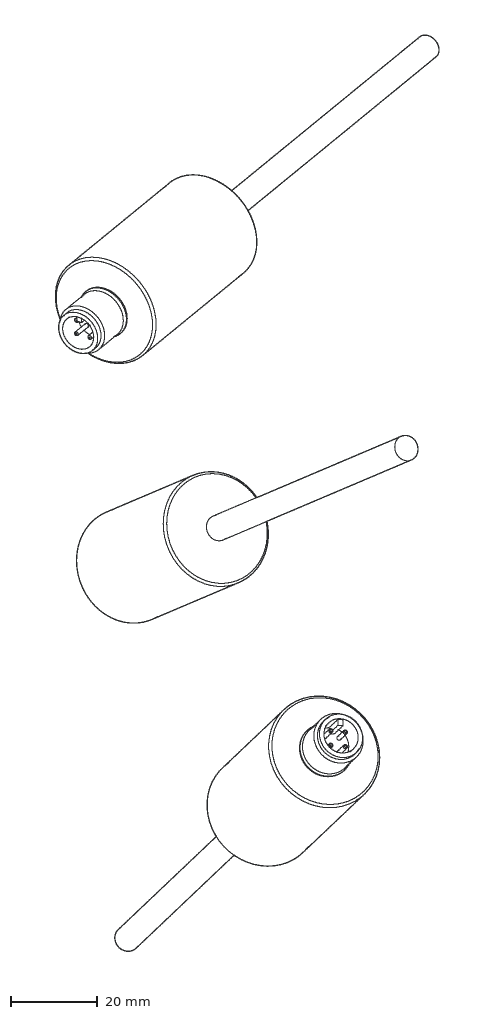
import cadquery as cq
import math

overall_length = 159.9
plug_length = 11.7

housing_diameter = 27.0
housing_length = 48.2
housing_chamfer = 0.6
front_cone_height = 0.3
rear_cone_height = 0.6

collar_diameter = 12.6
collar_length = 0.4
collar_taper_length = 0.9
barrel_diameter = 12.0
barrel_bevel_length = 0.4
nose_diameter = 10.5
nose_length = 1.5

socket_diameter = 8.3
socket_depth = 7.0
pin_diameter = 1.0
pin_tip_chamfer = 0.25
pin_count = 4
pin_circle_diameter = 5.0
pin_recess = 2.0
key_width = 1.2
key_height = 1.5
key_recess = 0.5

probe_diameter = 6.0

plug_tip_y = -plug_length
probe_tip_y = plug_tip_y + overall_length
socket_floor_y = plug_tip_y + socket_depth


def revolve_profile(outline):
    """Revolve an outline of (diameter, y) corners, closed along the axis, about Y."""
    corners = [(diameter / 2, y) for diameter, y in outline]
    profile = cq.Workplane("XY").moveTo(0, outline[0][1]).polyline(corners, includeCurrent=True)
    profile = profile.lineTo(0, outline[-1][1]).close()
    return profile.revolve(360, (0, 0, 0), (0, 1, 0))


def make_outer_body():
    """Plug, housing and probe rod as one turned shape."""
    face_diameter = housing_diameter - 2 * housing_chamfer
    barrel_end_y = plug_tip_y + nose_length
    front_rim_y = front_cone_height
    rear_rim_y = housing_length - rear_cone_height
    plug = [
        (nose_diameter, plug_tip_y),
        (nose_diameter, barrel_end_y),
        (barrel_diameter, barrel_end_y + barrel_bevel_length),
        (barrel_diameter, -collar_length - collar_taper_length),
        (collar_diameter, -collar_length),
        (collar_diameter, 0),
    ]
    housing = [
        (face_diameter, front_rim_y),
        (housing_diameter, front_rim_y + housing_chamfer),
        (housing_diameter, rear_rim_y - housing_chamfer),
        (face_diameter, rear_rim_y),
    ]
    probe = [
        (probe_diameter, housing_length),
        (probe_diameter, probe_tip_y),
    ]
    return revolve_profile(plug + housing + probe)


def make_socket():
    """Bore of the plug, less the keying rib at its top."""
    bore = revolve_profile([
        (socket_diameter, plug_tip_y),
        (socket_diameter, socket_floor_y),
    ])
    key_length = socket_depth - key_recess
    key = cq.Workplane("XY").box(key_width, key_length, key_height)
    key_y = socket_floor_y - key_length / 2
    key_z = (socket_diameter - key_height) / 2
    return bore.cut(key.translate((0, key_y, key_z)))


def make_pins():
    """Ring of contact pins with chamfered tips, standing on the socket floor."""
    pin_tip_y = plug_tip_y + pin_recess
    pin = revolve_profile([
        (pin_diameter - 2 * pin_tip_chamfer, pin_tip_y),
        (pin_diameter, pin_tip_y + pin_tip_chamfer),
        (pin_diameter, socket_floor_y),
    ])
    radius = pin_circle_diameter / 2
    pins = cq.Workplane("XY")
    for index in range(pin_count):
        angle = math.radians((index + 0.5) * 360 / pin_count)
        pins = pins.union(pin.translate((radius * math.cos(angle), 0, radius * math.sin(angle))))
    return pins


result = make_outer_body().cut(make_socket()).union(make_pins())